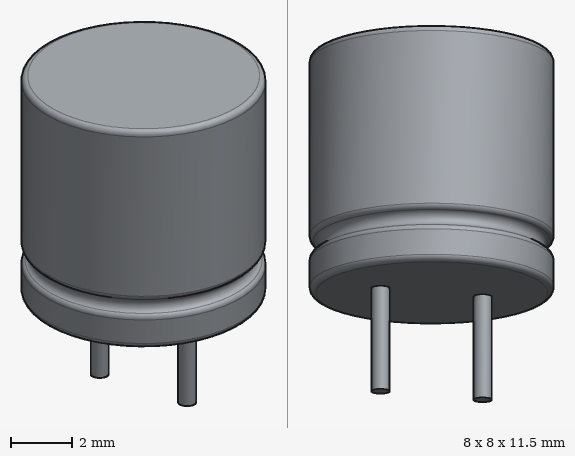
import cadquery as cq

body_diameter = 8.0
body_height = 8.0
edge_radius = 0.2

groove_height = 1.5
groove_radius = 0.28

lead_diameter = 0.6
lead_length = 3.5
lead_pitch = 3.5

body_radius = body_diameter / 2


def make_body():
    """Can with a crimp groove, revolved from its half section."""
    half_section = (
        cq.Sketch()
        .push([(body_radius / 2, body_height / 2)])
        .rect(body_radius, body_height)
        .reset()
        .push([(body_radius, groove_height)])
        .circle(groove_radius, mode="s")
        .reset()
        .vertices(">X")
        .fillet(edge_radius)
    )
    return cq.Workplane("XZ").placeSketch(half_section).revolve(360, (0, 0, 0), (0, 1, 0))


def make_leads():
    """Pair of straight round leads hanging below the base."""
    return (
        cq.Workplane("XY")
        .pushPoints([(-lead_pitch / 2, 0), (lead_pitch / 2, 0)])
        .circle(lead_diameter / 2)
        .extrude(-lead_length)
    )


result = make_body().union(make_leads())